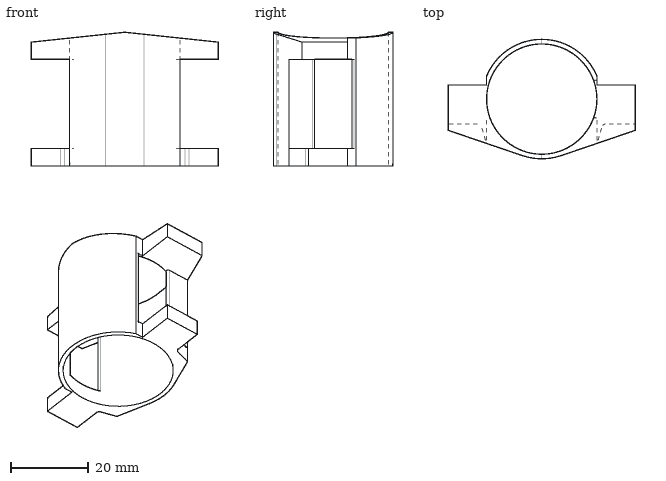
import cadquery as cq
import math

span = 48.5
height = 34.7
bore_radius = 14.25
depth = 31.0
body_half_width = 14.3
arm_back_y = 3.7
arm_front_y = -8.1
arm_underside_z = 27.65
arm_tip_z = 32.1
foot_height = 4.55
foot_front_y = -6.45
foot_root_x = 15.8
foot_fillet = 1.0
window_half_width = 5.35
half_span = span / 2
outer_radius = depth / 2

tip_distance = math.hypot(half_span, arm_front_y)
tip_angle = math.atan2(arm_front_y, half_span)
tangent_angle = tip_angle - math.acos(outer_radius / tip_distance)
tangent_x = outer_radius * math.cos(tangent_angle)
tangent_y = outer_radius * math.sin(tangent_angle)
wall_slope = (arm_front_y - tangent_y) / (half_span - tangent_x)
wall_end_y = tangent_y + wall_slope * (body_half_width - tangent_x)

lip_radius = (body_half_width**2 + window_half_width**2 - bore_radius**2) / (
    2 * (body_half_width + bore_radius)
)
lip_center_x = body_half_width - lip_radius
lip_scale = bore_radius / (bore_radius + lip_radius)
lip_start_x = lip_center_x * lip_scale
lip_start_y = window_half_width * lip_scale


def mirrored_prism(points, bottom, top):
    """Extrude an outline between two heights, on both sides of the YZ plane."""
    prism = cq.Workplane("XY", origin=(0, 0, bottom)).polyline(points).close().extrude(top - bottom)
    return prism.union(prism.mirror("YZ"))


def make_body():
    """Cylinder with side flats and straight tangent front walls."""
    cylinder = cq.Workplane("XY").circle(outer_radius).extrude(height)
    flats = cq.Workplane("XY").rect(2 * body_half_width, 2 * outer_radius).extrude(height)
    front_walls = mirrored_prism(
        [
            (0, 0),
            (tangent_x, tangent_y),
            (body_half_width, wall_end_y),
            (body_half_width, 0),
        ],
        0,
        height,
    )
    return cylinder.intersect(flats).union(front_walls)


def make_arms():
    """Wide upper arms that continue the tangent front walls."""
    return mirrored_prism(
        [
            (0, arm_back_y),
            (half_span, arm_back_y),
            (half_span, arm_front_y),
            (tangent_x, tangent_y),
            (0, 0),
        ],
        arm_underside_z,
        height,
    )


def make_feet():
    """Lower feet with a slanted root and a fillet in the inside corner."""
    foot = (
        cq.Workplane("XY")
        .polyline(
            [
                (0, arm_back_y),
                (half_span, arm_back_y),
                (half_span, foot_front_y),
                (foot_root_x, foot_front_y),
                (body_half_width, wall_end_y),
                (0, 0),
            ]
        )
        .close()
        .extrude(foot_height)
    )
    corner = cq.selectors.NearestToPointSelector((foot_root_x, foot_front_y, foot_height / 2))
    foot = foot.edges(corner).fillet(foot_fillet)
    return foot.union(foot.mirror("YZ"))


def make_roof():
    """Space under the gable-shaped top, highest along the middle."""
    return (
        cq.Workplane("XZ")
        .polyline(
            [
                (-half_span, 0),
                (half_span, 0),
                (half_span, arm_tip_z),
                (0, height),
                (-half_span, arm_tip_z),
            ]
        )
        .close()
        .extrude(outer_radius, both=True)
    )


def make_windows():
    """Side openings between feet and arms, with rounded lips at the bore."""
    lip_tip_y = window_half_width - lip_radius
    window = (
        cq.Workplane("XY", origin=(0, 0, foot_height))
        .moveTo(0, -lip_start_y)
        .lineTo(lip_start_x, -lip_start_y)
        .threePointArc((lip_center_x, -lip_tip_y), (body_half_width, -window_half_width))
        .lineTo(body_half_width, window_half_width)
        .threePointArc((lip_center_x, lip_tip_y), (lip_start_x, lip_start_y))
        .lineTo(0, lip_start_y)
        .close()
        .extrude(arm_underside_z - foot_height)
    )
    return window.union(window.mirror("YZ"))


bore = cq.Workplane("XY").circle(bore_radius).extrude(height)

result = make_body().union(make_arms()).union(make_feet())
result = result.intersect(make_roof()).cut(bore).cut(make_windows())